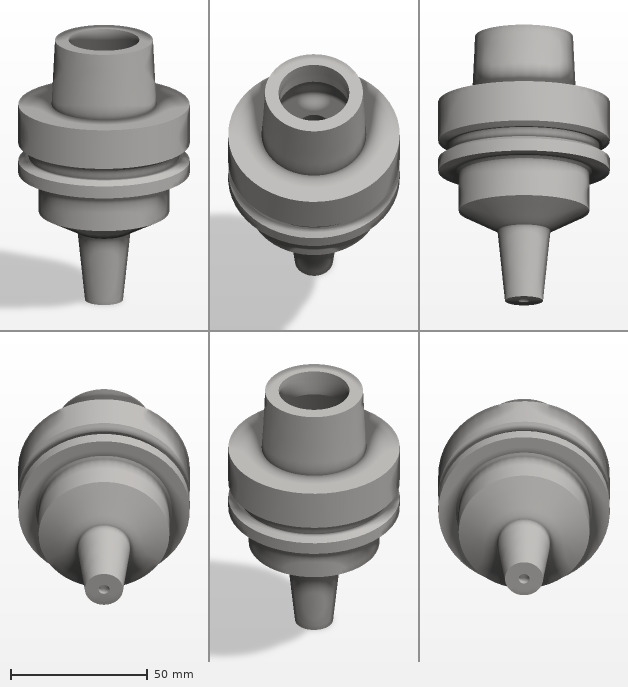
import cadquery as cq
import math

TOTAL_HEIGHT = 100.0
NOSE_TOP_Z = 26.45
COLLAR_BOTTOM_Z = 34.0
FLANGE_BOTTOM_Z = 49.0
FLANGE_TOP_Z = 75.25

NOSE_TIP_RADIUS = 7.0
NOSE_TOP_RADIUS = 9.75
COLLAR_RADIUS = 24.0
COLLAR_BEVEL = 1.0

FLANGE_RADIUS = 31.5
GROOVE_RADIUS = 27.65
GROOVE_CENTRE_Z = 57.0
GROOVE_FLOOR_WIDTH = 3.75
GROOVE_BEVEL_HEIGHT = 1.5
GROOVE_BEVEL_ANGLE = 60.0

SHANK_TOP_RADIUS = 18.0
SHANK_BASE_RADIUS = 19.23

MOUTH_RADIUS = 13.0
MOUTH_DEPTH = 10.0
UNDERCUT_RADIUS = 16.0
UNDERCUT_DEPTH = 19.75
CAVITY_FILLET = 1.0
CAVITY_FLOOR_DEPTH = UNDERCUT_DEPTH + CAVITY_FILLET

COUNTERBORE_RADIUS = 6.0
COUNTERBORE_DEPTH = 10.0
CLEARANCE_RADIUS = 4.1
CLEARANCE_BOTTOM_Z = COLLAR_BOTTOM_Z
TOOL_BORE_RADIUS = 2.0


def make_body():
    groove_bottom_z = GROOVE_CENTRE_Z - GROOVE_FLOOR_WIDTH / 2
    groove_top_z = GROOVE_CENTRE_Z + GROOVE_FLOOR_WIDTH / 2
    groove_lip_radius = FLANGE_RADIUS - GROOVE_BEVEL_HEIGHT * math.tan(math.radians(GROOVE_BEVEL_ANGLE))
    outline = (
        cq.Workplane("YZ")
        .lineTo(NOSE_TIP_RADIUS, 0)
        .lineTo(NOSE_TOP_RADIUS, NOSE_TOP_Z)
        .lineTo(COLLAR_RADIUS, COLLAR_BOTTOM_Z)
        .lineTo(COLLAR_RADIUS, FLANGE_BOTTOM_Z - COLLAR_BEVEL)
        .lineTo(COLLAR_RADIUS + COLLAR_BEVEL, FLANGE_BOTTOM_Z)
        .lineTo(FLANGE_RADIUS, FLANGE_BOTTOM_Z)
        .lineTo(FLANGE_RADIUS, groove_bottom_z - GROOVE_BEVEL_HEIGHT)
        .lineTo(groove_lip_radius, groove_bottom_z)
        .lineTo(GROOVE_RADIUS, groove_bottom_z)
        .lineTo(GROOVE_RADIUS, groove_top_z)
        .lineTo(groove_lip_radius, groove_top_z)
        .lineTo(FLANGE_RADIUS, groove_top_z + GROOVE_BEVEL_HEIGHT)
        .lineTo(FLANGE_RADIUS, FLANGE_TOP_Z)
        .lineTo(SHANK_BASE_RADIUS, FLANGE_TOP_Z)
        .lineTo(SHANK_TOP_RADIUS, TOTAL_HEIGHT)
        .lineTo(0, TOTAL_HEIGHT)
        .close()
    )
    return outline.revolve(360, (0, 0), (0, 1))


def make_cavity():
    return (
        cq.Workplane("XZ", origin=(0, 0, TOTAL_HEIGHT))
        .lineTo(MOUTH_RADIUS, 0)
        .lineTo(MOUTH_RADIUS, -MOUTH_DEPTH)
        .lineTo(UNDERCUT_RADIUS, -MOUTH_DEPTH)
        .lineTo(UNDERCUT_RADIUS, -UNDERCUT_DEPTH)
        .tangentArcPoint((-CAVITY_FILLET, -CAVITY_FILLET))
        .lineTo(0, -CAVITY_FLOOR_DEPTH)
        .close()
        .revolve(360, (0, 0), (0, 1))
    )


def make_bore():
    floor_z = TOTAL_HEIGHT - CAVITY_FLOOR_DEPTH
    steps = (
        (COUNTERBORE_RADIUS, floor_z - COUNTERBORE_DEPTH),
        (CLEARANCE_RADIUS, CLEARANCE_BOTTOM_Z),
        (TOOL_BORE_RADIUS, 0),
    )
    bore = cq.Workplane("XY")
    for radius, bottom_z in steps:
        step = cq.Workplane("XY", origin=(0, 0, bottom_z)).circle(radius).extrude(floor_z - bottom_z)
        bore = bore.union(step)
    return bore


result = make_body().cut(make_cavity()).cut(make_bore())